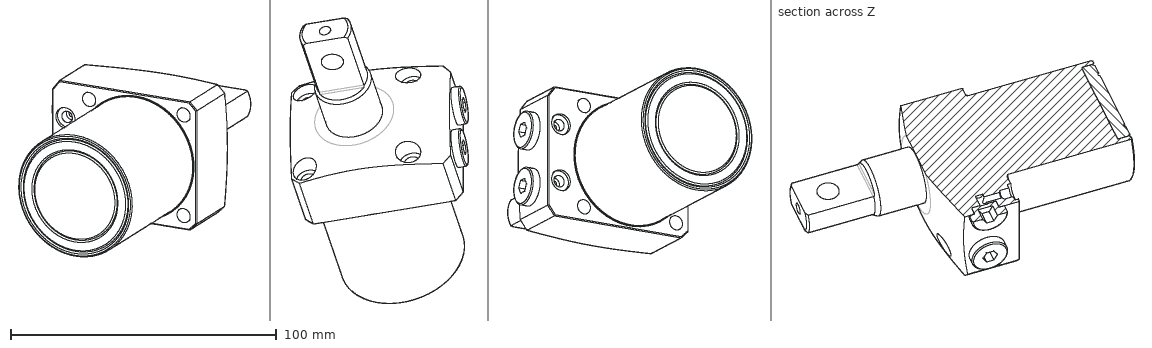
import cadquery as cq
import math


FLANGE_HALF = 25.49
FLANGE_LEFT = 35.5
FLANGE_TOP = 28.3
TOP_FLAT_RADIUS = 15.3
TOP_SLOPE = 15.5
LEFT_CORNER = (2.9, 3.8)
RIGHT_CORNER = 3.0
FACE_CHAMFER = 0.4

BARREL_RADIUS = 24.0
BARREL_LENGTH = 50.7
RIM_CHAMFER = 0.5
COLLAR_RADIUS = 24.4
COLLAR_LENGTH = 0.4

MOUNT_OFFSET = 20.0
MOUNT_RADIUS = 2.8
MOUNT_BORE_RADIUS = 4.7
MOUNT_BORE_FLOOR = 19.0

PORT_Z = 11.07
PORT_X = -30.0
SEAL_RADIUS = 4.0
SEAL_DEPTH = 1.4
PORT_RADIUS = 2.21
PORT_DEPTH = 5.0
PORT_INNER_RADIUS = 1.33
PORT_SHOULDER = 0.5
PASSAGE_RADIUS = 1.4
PASSAGE_END = -27.2

PLUG_Y = 13.3
PLUG_RADIUS = 7.2
PLUG_HEAD = 3.48
PLUG_CHAMFER = 0.5
PLUG_SHANK_RADIUS = 4.8
PLUG_SHANK = 3.3
PLUG_HEX = 5.0
PLUG_HEX_DEPTH = 5.0

CAP_RADIUS = 22.1
CAP_THICKNESS = 5.0
CAP_CHAMFER = 0.6
CAP_GROOVE_RADIUS = 17.6
CAP_GROOVE_DEPTH = 0.6

ROD_RADIUS = 11.0
ROD_CONE_START = 46.7
ROD_CONE_END = 48.6
TANG_RADIUS = 10.0
TANG_HALF = 5.0
TANG_START = 48.2
TANG_FILLET = 0.6
TANG_HOLE_RADIUS = 4.2
TANG_HOLE_Y = 63.8
TIP_CHAMFER_LENGTH = 0.8
TIP_CHAMFER_WIDTH = 1.1
TIP_HOLE_RADIUS = 2.2

ROD_TIP = 126.5 - BARREL_LENGTH


def disc(radius, y_start, y_end, x=0, z=0):
    """Cylinder along Y between two Y positions."""
    direction = cq.Vector(0, 1, 0)
    return cq.Workplane(cq.Solid.makeCylinder(radius, y_end - y_start, cq.Vector(x, y_start, z), direction))


def side_disc(radius, x_start, x_end, z):
    """Cylinder along X on a plug axis."""
    direction = cq.Vector(1, 0, 0)
    return cq.Workplane(cq.Solid.makeCylinder(radius, x_end - x_start, cq.Vector(x_start, PLUG_Y, z), direction))


def turned(profile):
    """Solid of revolution about the Y axis from (radius, Y) points."""
    return cq.Workplane("XY").polyline(profile).close().revolve(360, (0, 0), (0, 1))



def make_flange():
    corner_x, corner_z = LEFT_CORNER
    half = FLANGE_HALF
    upper = [
        (-FLANGE_LEFT, half - corner_z),
        (-FLANGE_LEFT + corner_x, half),
        (half - RIGHT_CORNER, half),
        (half, half - RIGHT_CORNER),
    ]
    lower = [(x, -z) for x, z in reversed(upper)]
    block = (
        cq.Workplane("XZ")
        .polyline(upper + lower)
        .close()
        .extrude(-FLANGE_TOP)
        .faces("<Y")
        .chamfer(FACE_CHAMFER)
    )
    far_radius = math.hypot(FLANGE_LEFT, FLANGE_HALF)
    drop = (far_radius - TOP_FLAT_RADIUS) * math.tan(math.radians(TOP_SLOPE))
    dome = turned([
        (0, 0),
        (far_radius, 0),
        (far_radius, FLANGE_TOP - drop),
        (TOP_FLAT_RADIUS, FLANGE_TOP),
        (0, FLANGE_TOP),
    ])
    return block.intersect(dome)


def make_barrel():
    barrel = disc(BARREL_RADIUS, -BARREL_LENGTH, 0).faces("<Y").chamfer(RIM_CHAMFER)
    return barrel.union(disc(COLLAR_RADIUS, -COLLAR_LENGTH, 0))


def cut_mounting_holes(body):
    for x in (-MOUNT_OFFSET, MOUNT_OFFSET):
        for z in (-MOUNT_OFFSET, MOUNT_OFFSET):
            body = body.cut(disc(MOUNT_RADIUS, 0, FLANGE_TOP, x, z))
            body = body.cut(disc(MOUNT_BORE_RADIUS, MOUNT_BORE_FLOOR, FLANGE_TOP, x, z))
    return body


def make_port_drill(z):
    """Seal recess, stepped drill hole and the side passage it meets."""
    shoulder = cq.Solid.makeCone(
        PORT_RADIUS, PORT_INNER_RADIUS, PORT_SHOULDER,
        cq.Vector(PORT_X, PORT_DEPTH, z), cq.Vector(0, 1, 0),
    )
    return (
        disc(SEAL_RADIUS, 0, SEAL_DEPTH, PORT_X, z)
        .union(disc(PORT_RADIUS, 0, PORT_DEPTH, PORT_X, z))
        .union(cq.Workplane(shoulder))
        .union(disc(PORT_INNER_RADIUS, PORT_DEPTH, PLUG_Y, PORT_X, z))
        .union(side_disc(PASSAGE_RADIUS, -FLANGE_LEFT, PASSAGE_END, z))
        .union(side_disc(PLUG_SHANK_RADIUS, -FLANGE_LEFT, -FLANGE_LEFT + PLUG_SHANK, z))
    )


def cut_cap_seat(body):
    seat = disc(CAP_RADIUS, -BARREL_LENGTH, -BARREL_LENGTH + CAP_THICKNESS)
    mouth = cq.Solid.makeCone(
        CAP_RADIUS + CAP_CHAMFER, CAP_RADIUS, CAP_CHAMFER,
        cq.Vector(0, -BARREL_LENGTH, 0), cq.Vector(0, 1, 0),
    )
    return body.cut(seat).cut(cq.Workplane(mouth))


def make_housing():
    body = make_flange().union(make_barrel())
    body = cut_mounting_holes(body)
    for z in (-PORT_Z, PORT_Z):
        body = body.cut(make_port_drill(z))
    body = cut_cap_seat(body)
    return body.cut(disc(ROD_RADIUS, 0, FLANGE_TOP))



def make_end_cap():
    face = -BARREL_LENGTH
    cap = disc(CAP_RADIUS, face, face + CAP_THICKNESS).faces("<Y").chamfer(CAP_CHAMFER)
    groove = turned([
        (CAP_GROOVE_RADIUS - CAP_GROOVE_DEPTH, face),
        (CAP_GROOVE_RADIUS, face + CAP_GROOVE_DEPTH),
        (CAP_GROOVE_RADIUS + CAP_GROOVE_DEPTH, face),
    ])
    return cap.cut(groove)



def make_tang_cut():
    """Material above the upper flat, with a rounded inner corner."""
    corner_y = TANG_START + TANG_FILLET
    return (
        cq.Workplane("YZ")
        .moveTo(ROD_TIP, TANG_HALF)
        .lineTo(corner_y, TANG_HALF)
        .radiusArc((TANG_START, TANG_HALF + TANG_FILLET), TANG_FILLET)
        .lineTo(TANG_START, ROD_RADIUS)
        .lineTo(ROD_TIP, ROD_RADIUS)
        .close()
        .extrude(ROD_RADIUS, both=True)
    )


def make_rod():
    rod = turned([
        (0, 0),
        (ROD_RADIUS, 0),
        (ROD_RADIUS, ROD_CONE_START),
        (TANG_RADIUS, ROD_CONE_END),
        (TANG_RADIUS, ROD_TIP - TIP_CHAMFER_LENGTH),
        (TANG_RADIUS - TIP_CHAMFER_WIDTH, ROD_TIP),
        (0, ROD_TIP),
    ])
    upper_cut = make_tang_cut()
    hole = cq.Workplane("XY").center(0, TANG_HOLE_Y).circle(TANG_HOLE_RADIUS).extrude(TANG_RADIUS, both=True)
    tip_hole = disc(TIP_HOLE_RADIUS, TANG_HOLE_Y, ROD_TIP)
    return rod.cut(upper_cut).cut(upper_cut.mirror("XY")).cut(hole).cut(tip_hole)



def make_plug(z):
    head_face = -FLANGE_LEFT - PLUG_HEAD
    head = side_disc(PLUG_RADIUS, head_face, -FLANGE_LEFT, z).faces("<X").chamfer(PLUG_CHAMFER)
    shank = side_disc(PLUG_SHANK_RADIUS, -FLANGE_LEFT, -FLANGE_LEFT + PLUG_SHANK, z)
    across_corners = PLUG_HEX / math.cos(math.radians(30))
    socket = (
        cq.Workplane("YZ", origin=(head_face, PLUG_Y, z))
        .polygon(6, across_corners)
        .extrude(PLUG_HEX_DEPTH)
    )
    return head.union(shank).cut(socket)


housing = make_housing()
end_cap = make_end_cap()
rod = make_rod()
plugs = [make_plug(z) for z in (-PORT_Z, PORT_Z)]

result = cq.Compound.makeCompound([
    housing.val(),
    end_cap.val(),
    rod.val(),
    *[plug.val() for plug in plugs],
])